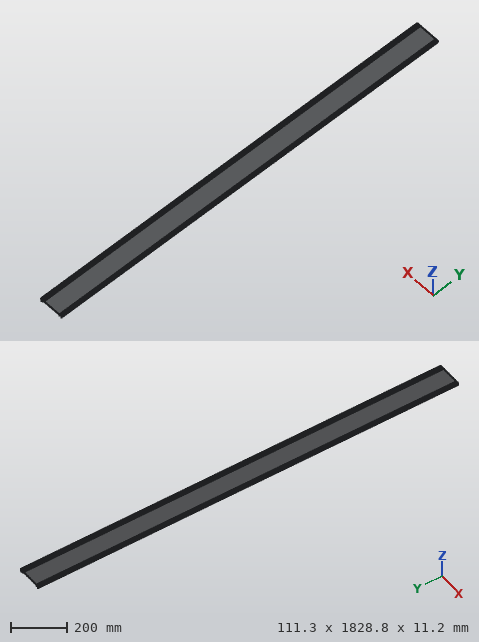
import cadquery as cq

WIDTH = 111.29
LENGTH = 1828.8
HEIGHT = 11.17

PLATE_THICKNESS = 1.52
EDGE_RADIUS = 0.67

LEG_THICKNESS = 1.19
LEG_OUTER_X = 52.68
BARB_REACH = 0.5
BARB_HEIGHT = 2.94
FOOT_WIDTH = 0.5

RIB_THICKNESS = 2.57
RIB_INNER_X = 41.38
RIB_DEPTH = 7.0

TOP_Z = HEIGHT / 2
BOTTOM_Z = -HEIGHT / 2
UNDERSIDE_Z = TOP_Z - PLATE_THICKNESS


def extrude_along_length(profile):
    """Extrude a closed XZ profile over the full length, centred on Y = 0."""
    return profile.extrude(LENGTH / 2, both=True)


def make_plate():
    """Flat plate with rounded long upper edges."""
    plate_middle_z = (TOP_Z + UNDERSIDE_Z) / 2
    profile = cq.Workplane("XZ").center(0, plate_middle_z).rect(WIDTH, PLATE_THICKNESS)
    return extrude_along_length(profile).faces(">Z").edges("|Y").fillet(EDGE_RADIUS)


def make_leg():
    """Leg on the +X side, with a barb on its outer face."""
    inner_x = LEG_OUTER_X - LEG_THICKNESS
    barb_z = BOTTOM_Z + BARB_HEIGHT
    profile = (
        cq.Workplane("XZ")
        .moveTo(inner_x, UNDERSIDE_Z)
        .lineTo(inner_x, BOTTOM_Z)
        .lineTo(inner_x + FOOT_WIDTH, BOTTOM_Z)
        .lineTo(LEG_OUTER_X + BARB_REACH, barb_z)
        .lineTo(LEG_OUTER_X, barb_z)
        .lineTo(LEG_OUTER_X, UNDERSIDE_Z)
        .close()
    )
    return extrude_along_length(profile)


def make_rib():
    """Plain rectangular rib on the +X side."""
    rib_height = RIB_DEPTH - PLATE_THICKNESS
    rib_middle_x = RIB_INNER_X + RIB_THICKNESS / 2
    rib_middle_z = UNDERSIDE_Z - rib_height / 2
    profile = (
        cq.Workplane("XZ")
        .center(rib_middle_x, rib_middle_z)
        .rect(RIB_THICKNESS, rib_height)
    )
    return extrude_along_length(profile)


def make_cover():
    """Plate with legs and ribs mirrored about the centre plane X = 0."""
    cover = make_plate()
    for member in (make_leg(), make_rib()):
        cover = cover.union(member).union(member.mirror("YZ"))
    return cover


result = make_cover()